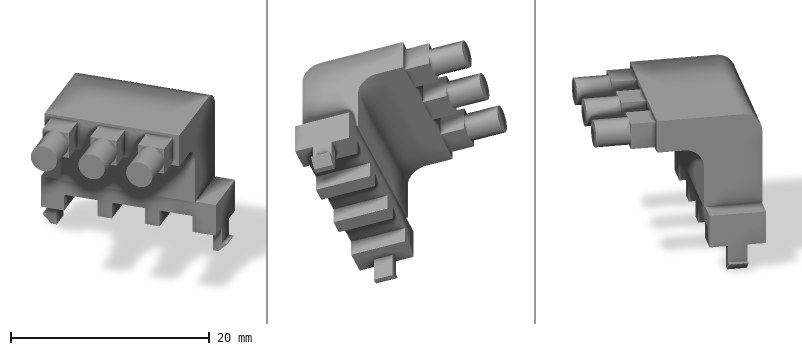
import cadquery as cq

BODY_WIDTH = 14.4
BODY_HEIGHT = 10.0
STEM_DEPTH = 6.0
ARM_REACH = 10.8
ARM_THICKNESS = 3.5
OUTER_RADIUS = 2.0
INNER_RADIUS = 2.0

BASE_WIDTH = 18.7
BASE_DEPTH = 5.8
BASE_HEIGHT = 3.5
BASE_REAR_INSET = 0.02
NOTCH_WIDTH = 3.55
NOTCH_HEIGHT = 1.8

PIN_PITCH = 5.1
PIN_SIZE = 2.8
PIN_DROP = 1.8
PIN_ROOT_LENGTH = 2.55
PIN_TOTAL_LENGTH = 6.1

LEG_THICKNESS = 1.0
LEG_DEPTH = 2.0
LEG_LENGTH = 2.78
HOOK_OVERHANG = 0.5
HOOK_HEIGHT = 0.98
HOOK_LIP = 0.07
HOOK_TAPER = HOOK_HEIGHT - HOOK_LIP

STATIONS = (-PIN_PITCH, 0.0, PIN_PITCH)
BASE_CENTER_Y = -BASE_REAR_INSET - BASE_DEPTH / 2
ARM_BOTTOM = BODY_HEIGHT - ARM_THICKNESS
PIN_Z = BODY_HEIGHT - PIN_DROP


def make_body():
    """L-shaped side profile extruded across the body width."""
    return (
        cq.Workplane("YZ")
        .moveTo(0, 0)
        .lineTo(0, BODY_HEIGHT - OUTER_RADIUS)
        .radiusArc((-OUTER_RADIUS, BODY_HEIGHT), -OUTER_RADIUS)
        .lineTo(-ARM_REACH, BODY_HEIGHT)
        .lineTo(-ARM_REACH, ARM_BOTTOM)
        .lineTo(-STEM_DEPTH - INNER_RADIUS, ARM_BOTTOM)
        .radiusArc((-STEM_DEPTH, ARM_BOTTOM - INNER_RADIUS), INNER_RADIUS)
        .lineTo(-STEM_DEPTH, 0)
        .close()
        .extrude(BODY_WIDTH / 2, both=True)
    )


def make_base():
    """Bar below the body, notched right through its depth at each station."""
    base = (
        cq.Workplane("XY")
        .box(BASE_WIDTH, BASE_DEPTH, BASE_HEIGHT, centered=(True, True, False))
        .translate((0, BASE_CENTER_Y, -BASE_HEIGHT))
    )
    for x in STATIONS:
        notch = (
            cq.Workplane("XY")
            .box(NOTCH_WIDTH, BASE_DEPTH, NOTCH_HEIGHT, centered=(True, True, False))
            .translate((x, BASE_CENTER_Y, -BASE_HEIGHT))
        )
        base = base.cut(notch)
    return base


def make_pin(x):
    """Pin projecting forward from the end face of the arm."""
    end_face = cq.Workplane("XZ", origin=(x, -ARM_REACH, PIN_Z))
    root = end_face.rect(PIN_SIZE, PIN_SIZE).extrude(PIN_ROOT_LENGTH)
    tip = end_face.circle(PIN_SIZE / 2).extrude(PIN_TOTAL_LENGTH)
    return root.union(tip)


def make_leg(side):
    """Snap leg with an outward hook; side is -1 or +1 along X."""
    outer = BASE_WIDTH / 2
    inner = outer - LEG_THICKNESS
    hook_edge = outer + HOOK_OVERHANG
    leg_bottom = -BASE_HEIGHT - LEG_LENGTH
    hook_top = leg_bottom + HOOK_HEIGHT
    profile = [
        (inner, -BASE_HEIGHT),
        (outer, -BASE_HEIGHT),
        (outer, hook_top),
        (hook_edge, hook_top),
        (hook_edge, hook_top - HOOK_LIP),
        (hook_edge - HOOK_TAPER, leg_bottom),
        (inner, leg_bottom),
    ]
    return (
        cq.Workplane("XZ", origin=(0, BASE_CENTER_Y, 0))
        .polyline([(side * x, z) for x, z in profile])
        .close()
        .extrude(LEG_DEPTH / 2, both=True)
    )


result = make_body().union(make_base())
for station in STATIONS:
    result = result.union(make_pin(station))
for side in (-1, 1):
    result = result.union(make_leg(side))